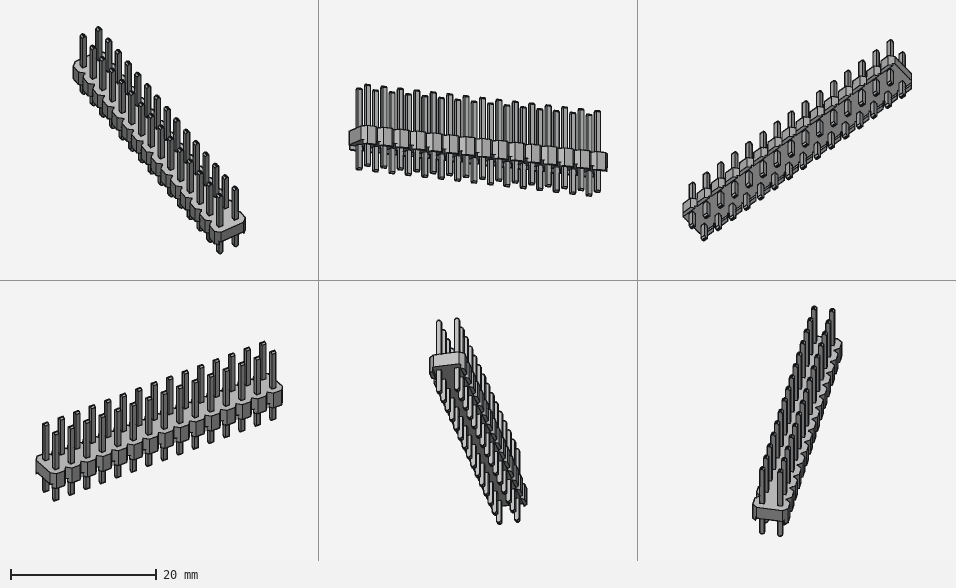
import cadquery as cq

body_length = 38.1
body_width = 5.0
pins_per_row = 15
pitch = body_length / pins_per_row

body_height = 2.5
foot_height = 0.57
foot_depth = 0.5
corner_x = 0.6
corner_y = 0.7

pin_size = 0.65
pin_top = 6.1
pin_length = 11.55
tip_height = 0.23
tip_flat = 0.15

column_places = [(i - (pins_per_row - 1) / 2) * pitch for i in range(pins_per_row)]
row_places = [-pitch / 2, pitch / 2]


def side_outline(side):
    """Points along one long edge, left to right, dipping to a V between columns."""
    outer_y = side * body_width / 2
    inner_y = side * (body_width / 2 - corner_y)
    half_flat = pitch / 2 - corner_x
    points = [(-body_length / 2, inner_y)]
    for x in column_places:
        points.append((x - half_flat, outer_y))
        points.append((x + half_flat, outer_y))
        points.append((x + pitch / 2, inner_y))
    return points


def make_body():
    """Notched block, relieved underneath so that a foot is left at each column."""
    outline = side_outline(-1) + side_outline(1)[::-1]
    block = cq.Workplane("XY").polyline(outline).close().extrude(-body_height)
    relief = (
        cq.Workplane("XY")
        .workplane(offset=-body_height)
        .rect(body_length, body_width - 2 * foot_depth)
        .extrude(foot_height)
    )
    return block.cut(relief)


def make_pin(x, y):
    """Square pin whose two ends are tapered along Y only."""
    half = pin_size / 2
    half_flat = tip_flat / 2
    top = pin_top
    bottom = pin_top - pin_length
    profile = [
        (y - half, bottom + tip_height),
        (y - half_flat, bottom),
        (y + half_flat, bottom),
        (y + half, bottom + tip_height),
        (y + half, top - tip_height),
        (y + half_flat, top),
        (y - half_flat, top),
        (y - half, top - tip_height),
    ]
    return cq.Workplane("YZ").workplane(offset=x - half).polyline(profile).close().extrude(pin_size)


result = make_body()
for x in column_places:
    for y in row_places:
        result = result.union(make_pin(x, y))